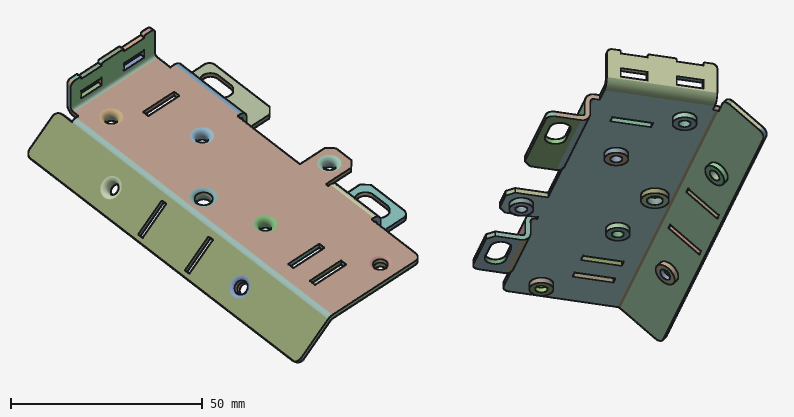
import cadquery as cq
import math


half_diagonal = math.sqrt(0.5)

sheet = 1.5
inner_bend = 1.0
outer_bend = inner_bend + sheet
corner_radius = 2.0
corner_chamfer = 2.0

length = 104.8
depth = 57.3
tab_rise = 10.0
flap_drop = 10.8

plate_back = 44.0
plate_back_left = 43.3
plate_slot_width = 2.0
plate_slot_length = 11.0
plate_slots = [(17.2, 32.4), (84.1, 22.3), (92.5, 22.3)]

flap_angle = 39.4
slope = math.radians(flap_angle)
flap_edge_height = -flap_drop + sheet * math.cos(slope)
bend_end_height = -outer_bend * (1 - math.cos(slope))
flap_run = (bend_end_height - flap_edge_height) / math.tan(slope)
flap_length = flap_run / math.cos(slope)
bend_start = flap_run + outer_bend * math.sin(slope)
flap_feature_run = 5.3
flap_slot_width = 1.7
flap_slot_length = 10.8
flap_slots = [43.0, 61.1]

tab_outer_face = 1.5
tab_inner_face = tab_outer_face + sheet
tab_bend_end = tab_outer_face + outer_bend
tab_front = 13.4
tab_width = plate_back_left - tab_front
tab_corner_radius = 1.5
window_width = 7.2
window_height = 2.6
window_middle_height = 3.1
window_offset = 7.5
notch_depth = 0.9
notch_corner_radius = 0.5

relief_end = 5.9

step_drop = 7.1
step_wall_back = 47.2
step_bend_start = step_wall_back - outer_bend
step_bend_end = step_wall_back + inner_bend
step_slot_height = 5.5
step_slot_y = 52.5
left_step = (8.8, 33.9)
right_step = (68.9, 85.7)
left_slot_x = 16.7
left_slot_length = 10.3
right_slot_x = 76.7
right_slot_length = 10.9

earth_tab = (58.0, 68.1)
earth_tab_back = 54.9

collar_drop = 1.6
screw_diameter = 3.1
tapered_screw_diameter = 3.2
taper_diameter = 3.9
collar_diameter = 6.3
large_screw_diameter = 4.2
large_taper_diameter = 4.7
large_collar_diameter = 7.3


def box(x_range, y_range, z_range):
    """Box between two limits on each axis."""
    spans = [high - low for low, high in (x_range, y_range, z_range)]
    return cq.Workplane("XY").box(*spans, centered=False).translate((x_range[0], y_range[0], z_range[0]))


def make_plate():
    """Flat plate, from the front bend line to the back edge."""
    plate = box((relief_end, length), (bend_start, plate_back), (-sheet, 0))
    plate = plate.edges("|Z and >X and >Y").fillet(corner_radius)
    left_corner = box((relief_end, left_step[0]), (plate_back_left, plate_back), (-sheet, 0))
    left_strip = box((tab_bend_end, relief_end), (tab_front, plate_back_left), (-sheet, 0))
    return plate.cut(left_corner).union(left_strip)


def make_front_bend():
    """Bent strip between the plate and the flap."""
    half = slope / 2
    centre_height = -outer_bend

    def bend_point(radius, angle):
        return (bend_start - radius * math.sin(angle), centre_height + radius * math.cos(angle))

    return (
        cq.Workplane("YZ", origin=(relief_end, 0, 0))
        .moveTo(*bend_point(outer_bend, 0))
        .threePointArc(bend_point(outer_bend, half), bend_point(outer_bend, slope))
        .lineTo(*bend_point(inner_bend, slope))
        .threePointArc(bend_point(inner_bend, half), bend_point(inner_bend, 0))
        .close()
        .extrude(length - relief_end)
    )


def lay_on_flap(shape):
    """Carry a shape from the XY plane onto the slope, its Y = 0 line on the front edge of the flap."""
    return shape.rotate((0, 0, 0), (1, 0, 0), flap_angle).translate((0, 0, flap_edge_height))


def make_flap():
    """Sloped flap; only its corner next to the plate's right end stays square."""
    flap = box((0, length), (0, flap_length), (-sheet, 0))
    flap = flap.edges("|Z and (<X or <Y)").fillet(corner_radius)
    return lay_on_flap(flap)


def make_left_tab():
    """Upright tab with two windows and two notches, bent up from the plate."""
    bend_x = tab_bend_end
    bend = (
        cq.Workplane("XZ", origin=(0, plate_back_left, 0))
        .moveTo(bend_x, -sheet)
        .threePointArc(
            (bend_x - outer_bend * half_diagonal, inner_bend - outer_bend * half_diagonal),
            (tab_outer_face, inner_bend),
        )
        .lineTo(tab_inner_face, inner_bend)
        .threePointArc(
            (bend_x - inner_bend * half_diagonal, inner_bend - inner_bend * half_diagonal),
            (bend_x, 0),
        )
        .close()
        .extrude(tab_width)
    )
    wall = box((tab_outer_face, tab_inner_face), (tab_front, plate_back_left), (inner_bend, tab_rise))
    wall = wall.edges("|X and >Z").fillet(tab_corner_radius)
    wall_x = (tab_outer_face, tab_inner_face)
    tab_middle = tab_front + tab_width / 2
    for side in (-1, 1):
        middle = tab_middle + side * window_offset
        window_y = (middle - window_width / 2, middle + window_width / 2)
        window_z = (window_middle_height - window_height / 2, window_middle_height + window_height / 2)
        wall = wall.cut(box(wall_x, window_y, window_z))
        wall = wall.cut(box(wall_x, window_y, (tab_rise - notch_depth, tab_rise)))
    notch_reach = window_offset + window_width
    notched_stretch = cq.selectors.BoxSelector(
        (tab_outer_face - sheet, tab_middle - notch_reach, tab_rise - notch_depth / 2),
        (tab_inner_face + sheet, tab_middle + notch_reach, tab_rise + notch_depth / 2),
    )
    wall = wall.edges("|X").edges(notched_stretch).fillet(notch_corner_radius)
    return wall.union(bend)


def make_step_tab(x_range, chamfer_side, slot_x, slot_length):
    """Mounting tab stepped down behind the plate: one back corner chamfered, the other rounded."""
    start, end = x_range
    wall_front = step_wall_back - sheet
    bottom = -step_drop - sheet
    top_centre = (step_bend_start, -outer_bend)
    low_centre = (step_bend_end, -step_drop + inner_bend)

    def top_arc(radius):
        return (top_centre[0] + radius * half_diagonal, top_centre[1] + radius * half_diagonal)

    def low_arc(radius):
        return (low_centre[0] - radius * half_diagonal, low_centre[1] - radius * half_diagonal)

    tab = (
        cq.Workplane("YZ", origin=(start, 0, 0))
        .moveTo(plate_back_left, 0)
        .lineTo(step_bend_start, 0)
        .threePointArc(top_arc(outer_bend), (step_wall_back, -outer_bend))
        .lineTo(step_wall_back, low_centre[1])
        .threePointArc(low_arc(inner_bend), (step_bend_end, -step_drop))
        .lineTo(depth, -step_drop)
        .lineTo(depth, bottom)
        .lineTo(step_bend_end, bottom)
        .threePointArc(low_arc(outer_bend), (wall_front, low_centre[1]))
        .lineTo(wall_front, -outer_bend)
        .threePointArc(top_arc(inner_bend), (step_bend_start, -sheet))
        .lineTo(plate_back_left, -sheet)
        .close()
        .extrude(end - start)
    )
    round_side = "<X" if chamfer_side == ">X" else ">X"
    tab = tab.edges(f"|Z and >Y and {chamfer_side}").chamfer(corner_chamfer)
    tab = tab.edges(f"|Z and >Y and {round_side}").fillet(corner_radius)
    slot = (
        cq.Workplane("XY", origin=(slot_x, step_slot_y, bottom))
        .slot2D(slot_length, step_slot_height)
        .extrude(sheet)
    )
    return tab.cut(slot)


def make_earth_tab():
    """Flat tab behind the plate with both back corners chamfered."""
    tab = box(earth_tab, (plate_back, earth_tab_back), (-sheet, 0))
    return tab.edges("|Z and >Y").chamfer(corner_chamfer)


def make_collar(x, y, outer_diameter):
    """Cylinder under the sheet."""
    height = sheet + collar_drop
    return cq.Workplane("XY", origin=(x, y, -height)).circle(outer_diameter / 2).extrude(height)


def make_taper(outer_diameter, hole_diameter, top_diameter):
    """Conical cutter from the rounded mouth, where it is top_diameter wide, to the foot of the mouth."""
    flare = (outer_diameter - hole_diameter) / 2
    mouth_inset = (outer_diameter - top_diameter) / 2
    height = math.sqrt(flare**2 - mouth_inset**2)
    return (
        cq.Workplane("XY", origin=(0, 0, -flare))
        .circle(hole_diameter / 2)
        .workplane(offset=height)
        .circle(top_diameter / 2)
        .loft()
    )


def make_collar_bore(x, y, outer_diameter, hole_diameter, top_diameter):
    """Hole through a collar, tapered if top_diameter is given.

    Its rounded mouth meets the top face at the collar diameter.
    """
    hole_radius = hole_diameter / 2
    mouth_radius = outer_diameter / 2
    flare = mouth_radius - hole_radius
    bore = (
        cq.Workplane("XZ")
        .moveTo(0, 0)
        .lineTo(mouth_radius, 0)
        .threePointArc(
            (mouth_radius - flare * half_diagonal, -flare + flare * half_diagonal),
            (hole_radius, -flare),
        )
        .lineTo(hole_radius, -sheet - collar_drop)
        .lineTo(0, -sheet - collar_drop)
        .close()
        .revolve(360, (0, 0, 0), (0, 1, 0))
    )
    if top_diameter is not None:
        bore = bore.union(make_taper(outer_diameter, hole_diameter, top_diameter))
    return bore.translate((x, y, 0))


def make_slot_cutter(x, y, width, slot_length):
    """Square-ended slot through the sheet, long in Y."""
    return cq.Workplane("XY", origin=(x, y, -sheet)).rect(width, slot_length).extrude(sheet)


plain = (collar_diameter, screw_diameter, None)
tapered = (collar_diameter, tapered_screw_diameter, taper_diameter)
large = (large_collar_diameter, large_screw_diameter, large_taper_diameter)

plate_collars = [
    (11.9, 19.5, plain),
    (33.1, 32.3, plain),
    (68.2, 22.4, plain),
    (63.1, 49.9, plain),
    (99.1, 34.8, tapered),
    (50.0, 17.3, large),
]
flap_feature_y = flap_feature_run / math.cos(slope)
flap_collars = [
    (27.2, flap_feature_y, plain),
    (77.0, flap_feature_y, tapered),
]

result = make_plate()
result = result.union(make_front_bend()).union(make_flap())
result = result.union(make_left_tab()).union(make_earth_tab())
result = result.union(make_step_tab(left_step, ">X", left_slot_x, left_slot_length))
result = result.union(make_step_tab(right_step, "<X", right_slot_x, right_slot_length))

for x, y, kind in plate_collars:
    result = result.union(make_collar(x, y, kind[0]))
    result = result.cut(make_collar_bore(x, y, *kind))
for x, y, kind in flap_collars:
    result = result.union(lay_on_flap(make_collar(x, y, kind[0])))
    result = result.cut(lay_on_flap(make_collar_bore(x, y, *kind)))

for x, y in plate_slots:
    result = result.cut(make_slot_cutter(x, y, plate_slot_width, plate_slot_length))
for x in flap_slots:
    result = result.cut(lay_on_flap(make_slot_cutter(x, flap_feature_y, flap_slot_width, flap_slot_length)))